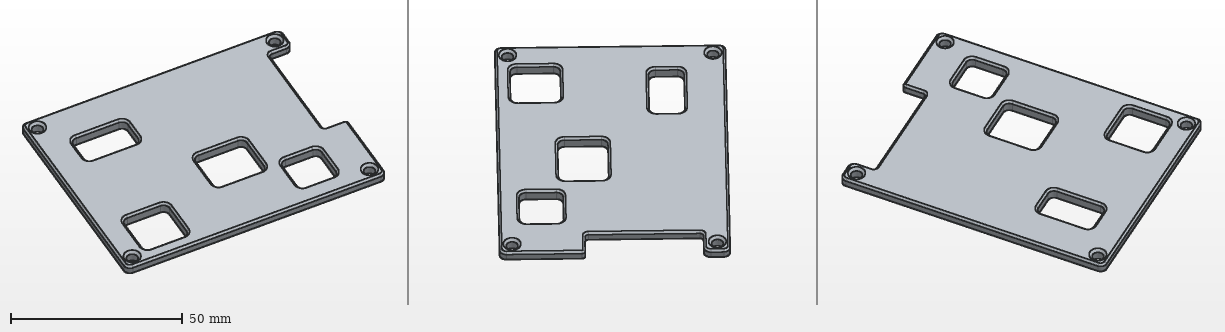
import cadquery as cq

width = 67.4
length = 85.4
thickness = 3.5
corner_radius = 2.0
edge_chamfer = 0.7

notch_left = -26.0
notch_right = 8.6
notch_floor = 34.9
notch_radius = 1.0

hole_diameter = 3.4
hole_spacing_x = 59.95
hole_spacing_y = 78.05
hole_chamfer = 0.85

opening_radius = 2.0
openings = [
    (21.2, 23.7, 12.9, 12.9),
    (8.6, 4.2, 14.7, 16.9),
    (-16.2, -23.7, 10.4, 18.0),
    (22.0, -27.2, 14.7, 14.8),
]


def make_plate():
    """Notched plate with rounded corners and chamfered top and bottom outlines."""
    right = width / 2
    back = length / 2
    outline = (
        cq.Workplane("XY")
        .moveTo(-right, -back)
        .lineTo(right, -back)
        .lineTo(right, back)
        .lineTo(notch_right, back)
        .lineTo(notch_right, notch_floor)
        .lineTo(notch_left, notch_floor)
        .lineTo(notch_left, back)
        .lineTo(-right, back)
        .close()
    )
    plate = outline.extrude(thickness)

    tab_top = (notch_left, back, thickness / 2)
    notch_corners = [
        (notch_right, back, thickness / 2),
        (notch_right, notch_floor, thickness / 2),
        (notch_left, notch_floor, thickness / 2),
    ]
    plate = plate.edges("|Z and (<X or >X)").fillet(corner_radius)
    plate = plate.edges(cq.selectors.NearestToPointSelector(tab_top)).fillet(corner_radius)
    for corner in notch_corners:
        plate = plate.edges(cq.selectors.NearestToPointSelector(corner)).fillet(notch_radius)
    return plate.faces("<Z or >Z").edges().chamfer(edge_chamfer)


def make_opening(center_x, center_y, size_x, size_y):
    """Cutter for a rounded opening that flares at the top face."""
    cutter = (
        cq.Workplane("XY")
        .box(size_x, size_y, thickness, centered=(True, True, False))
        .edges("|Z")
        .fillet(opening_radius)
    )
    flare = (
        cutter.faces(">Z")
        .wires()
        .toPending()
        .workplane()
        .offset2D(edge_chamfer)
        .extrude(-edge_chamfer, taper=45, combine=False)
    )
    return cutter.union(flare).translate((center_x, center_y, 0))


def make_holes():
    """Four cutters for the chamfered mounting holes near the corners."""
    radius = hole_diameter / 2
    profile = (
        cq.Workplane("XZ")
        .lineTo(radius, 0)
        .lineTo(radius, thickness - hole_chamfer)
        .lineTo(radius + hole_chamfer, thickness)
        .lineTo(0, thickness)
        .close()
    )
    hole = profile.revolve(360, (0, 0, 0), (0, 1, 0)).val()
    centers = cq.Workplane("XY").rect(hole_spacing_x, hole_spacing_y, forConstruction=True).vertices()
    return centers.eachpoint(lambda place: hole.moved(place))


result = make_plate()
for opening in openings:
    result = result.cut(make_opening(*opening))
result = result.cut(make_holes())